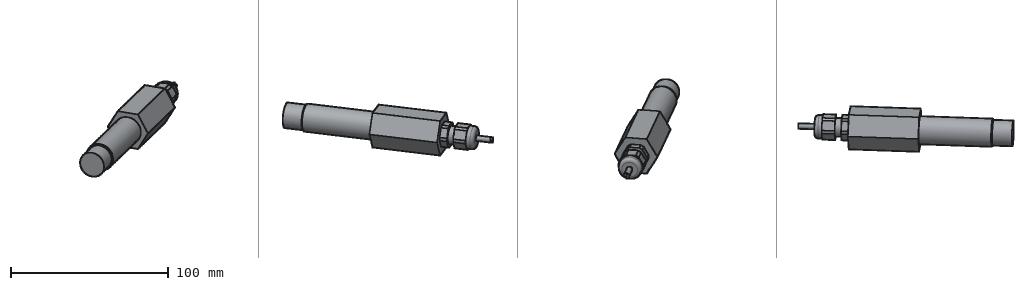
import cadquery as cq
import math

TOTAL_LENGTH = 136.6

TIP_DIAMETER = 16.5
BARREL_DIAMETER = 18.0
TIP_LENGTH = 12.5
BARREL_CHAMFER = (BARREL_DIAMETER - TIP_DIAMETER) / 2
BODY_HEX_ACROSS_CORNERS = 27.7
BODY_HEX_START = 59.2
BODY_HEX_END = 104.0

GLAND_ACROSS_FLATS = 15.2
GLAND_ACROSS_CORNER_FLATS = 16.3
GLAND_BASE_LENGTH = 4.8
NECK_DIAMETER = 12.0
NECK_LENGTH = 4.1
NUT_LENGTH = 8.2
DOME_DIAMETER = 15.0
DOME_LENGTH = 5.0
DOME_RADIUS = 2.5

CABLE_DIAMETER = 3.7
TEAR_DEPTH = 1.2
TEAR_RIM_DROP = 0.4
TEAR_LOWEST_X = 1.1

BASE_END = BODY_HEX_END + GLAND_BASE_LENGTH
NUT_START = BASE_END + NECK_LENGTH
DOME_START = NUT_START + NUT_LENGTH
DOME_END = DOME_START + DOME_LENGTH


def section_plane(y):
    """Cross-section plane at y, with local X along X and extrusion along +Y."""
    return cq.Workplane(cq.Plane(origin=(0, y, 0), xDir=(1, 0, 0), normal=(0, 1, 0)))


def cylinder(diameter, start, end):
    return section_plane(start).circle(diameter / 2).extrude(end - start)


def hexagon(across_corners, start, end):
    """Hexagonal bar with corners on the X axis and flats facing Z."""
    return section_plane(start).polygon(6, across_corners).extrude(end - start)


def blunted_hexagon(start, end):
    """Gland hexagon with a narrow flat on each corner."""
    main_flats = hexagon(GLAND_ACROSS_FLATS / math.cos(math.pi / 6), start, end)
    corner_flats = hexagon(GLAND_ACROSS_CORNER_FLATS / math.cos(math.pi / 6), start, end)
    corner_flats = corner_flats.rotate((0, 0, 0), (0, 1, 0), 30)
    return main_flats.intersect(corner_flats)


def make_housing():
    barrel = cylinder(BARREL_DIAMETER, TIP_LENGTH, BODY_HEX_START)
    barrel = barrel.faces("<Y").chamfer(BARREL_CHAMFER)
    tip = cylinder(TIP_DIAMETER, 0, TIP_LENGTH)
    body = hexagon(BODY_HEX_ACROSS_CORNERS, BODY_HEX_START, BODY_HEX_END)
    return body.union(barrel).union(tip)


def make_cable():
    """Cable stub whose end is flat on the -X half and hollowed by an arc on the +X half."""
    radius = CABLE_DIAMETER / 2
    cable = cylinder(CABLE_DIAMETER, DOME_END, TOTAL_LENGTH)
    tear = (
        cq.Workplane("XY")
        .moveTo(0, TOTAL_LENGTH)
        .threePointArc((TEAR_LOWEST_X, TOTAL_LENGTH - TEAR_DEPTH), (radius, TOTAL_LENGTH - TEAR_RIM_DROP))
        .lineTo(radius, TOTAL_LENGTH)
        .close()
        .extrude(radius, both=True)
    )
    return cable.cut(tear)


def make_cable_gland():
    """Base hexagon, neck, clamping nut and dome, with the clamped cable."""
    base = blunted_hexagon(BODY_HEX_END, BASE_END)
    neck = cylinder(NECK_DIAMETER, BASE_END, NUT_START)
    nut = blunted_hexagon(NUT_START, DOME_START)
    dome = cylinder(DOME_DIAMETER, DOME_START, DOME_END).faces(">Y").edges().fillet(DOME_RADIUS)
    return base.union(neck).union(nut).union(dome).union(make_cable())


housing = make_housing()
cable_gland = make_cable_gland()

result = cq.Compound.makeCompound([housing.val(), cable_gland.val()])